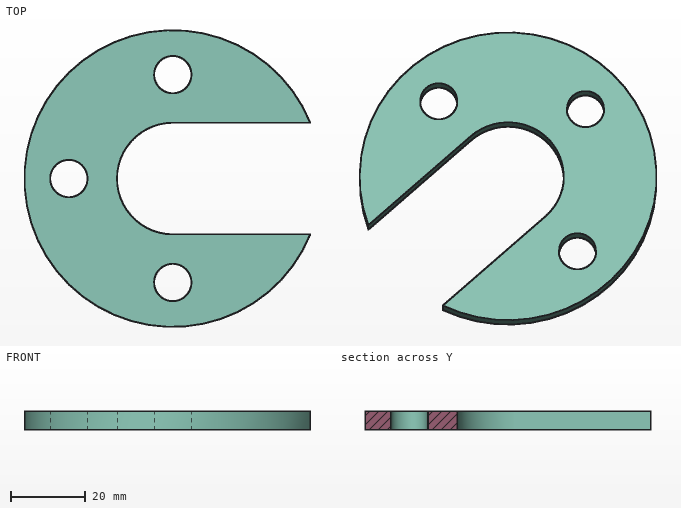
import cadquery as cq

disc_diameter = 80.0
thickness = 5.0
slot_width = 30.0
hole_diameter = 10.0
hole_circle_radius = 28.0
hole_angles = (90, 180, 270)

disc_radius = disc_diameter / 2


def make_disc():
    """Flat round plate centred on the Z axis, with its bottom at Z = 0."""
    return cq.Workplane("XY").circle(disc_radius).extrude(thickness)


def make_slot():
    """Slot with a round end about the disc centre, running out through +X."""
    round_end = cq.Workplane("XY").circle(slot_width / 2).extrude(thickness)
    straight_run = cq.Workplane("XY").box(
        disc_radius, slot_width, thickness, centered=(False, True, False)
    )
    return round_end.union(straight_run)


def make_holes():
    """Cylinders for the through holes spaced around the hole circle."""
    holes = cq.Workplane("XY")
    for angle in hole_angles:
        hole = (
            cq.Workplane("XY")
            .transformed(rotate=(0, 0, angle))
            .center(hole_circle_radius, 0)
            .circle(hole_diameter / 2)
            .extrude(thickness)
        )
        holes = holes.add(hole)
    return holes.combine()


result = make_disc().cut(make_slot()).cut(make_holes())